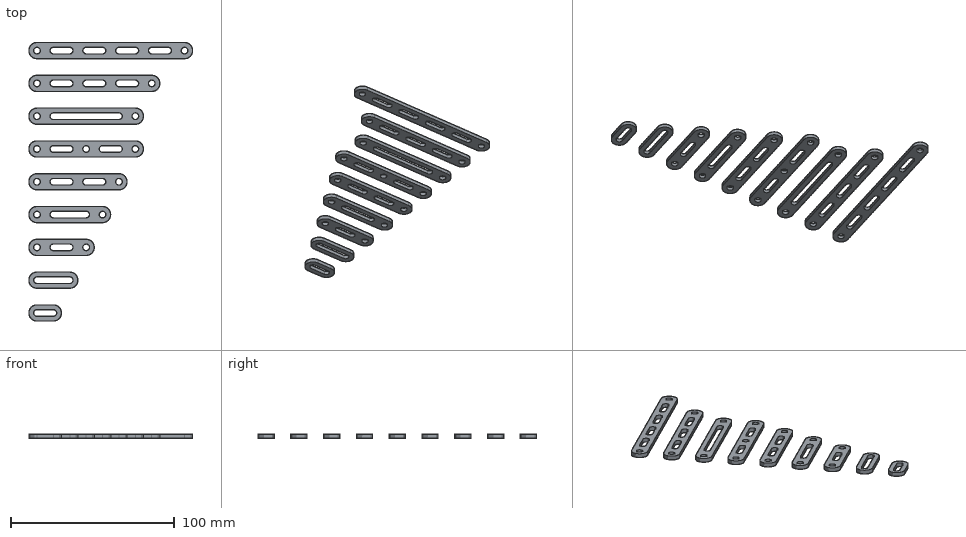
import cadquery as cq

HOLE_PITCH = 10.0
STRIP_WIDTH = 10.0
STRIP_THICKNESS = 2.5
HOLE_DIAMETER = 3.9
STRIP_SPACING = 20.0

STRIP_OPENINGS = {
    "link_2": [(0, 1)],
    "link_3": [(0, 2)],
    "strip_4": [(0, 0), (1, 2), (3, 3)],
    "strip_5": [(0, 0), (1, 3), (4, 4)],
    "strip_6": [(0, 0), (1, 2), (3, 4), (5, 5)],
    "strip_7_centre_hole": [(0, 0), (1, 2), (3, 3), (4, 5), (6, 6)],
    "strip_7_long_slot": [(0, 0), (1, 5), (6, 6)],
    "strip_8": [(0, 0), (1, 2), (3, 4), (5, 6), (7, 7)],
    "strip_10": [(0, 0), (1, 2), (3, 4), (5, 6), (7, 8), (9, 9)],
}


def rounded_bar(first, last, width):
    """Bar with full-round ends centred on two grid positions along X."""
    span = (last - first) * HOLE_PITCH
    profile = cq.Workplane("XY").center((first + last) / 2 * HOLE_PITCH, 0)
    if span == 0:
        return profile.circle(width / 2).extrude(STRIP_THICKNESS)
    return profile.slot2D(span + width, width).extrude(STRIP_THICKNESS)


def make_strip(openings):
    """Flat strip whose end radii are centred on the first and last grid positions."""
    last_position = openings[-1][1]
    strip = rounded_bar(0, last_position, STRIP_WIDTH)
    for first, last in openings:
        strip = strip.cut(rounded_bar(first, last, HOLE_DIAMETER))
    return strip


strips = []
for row, openings in enumerate(STRIP_OPENINGS.values()):
    strip = make_strip(openings).translate((0, row * STRIP_SPACING, 0))
    strips.append(strip.val())

result = cq.Compound.makeCompound(strips)